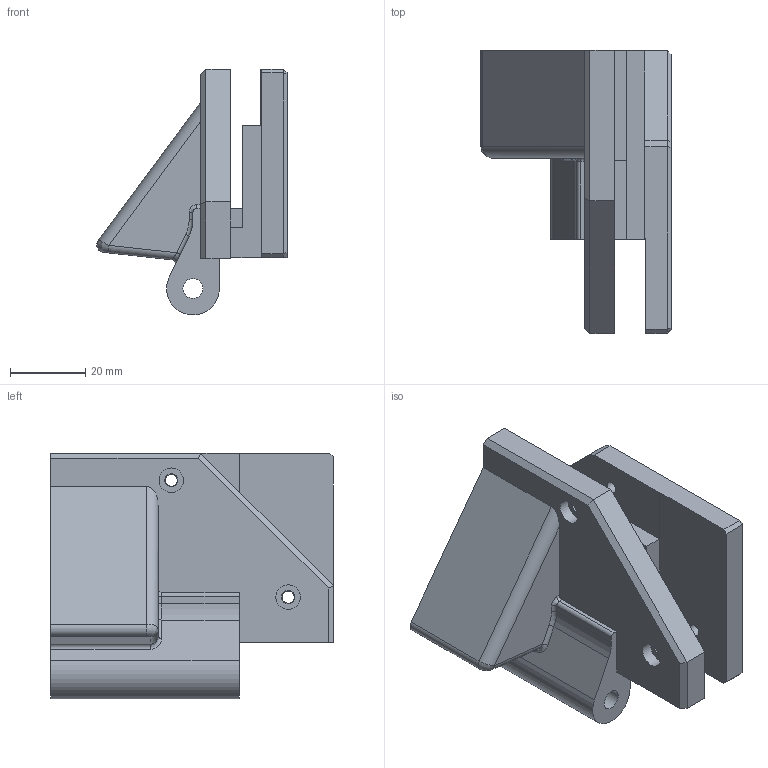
import cadquery as cq
import math


length = 75.0
plate_top = 50.2
near_thickness = 8.0
near_corner_cut = 35.2
near_edge_chamfer = 1.4
clearance = 0.2
plate_gap = 8.0
pad_thickness = clearance
pad_x = near_thickness + plate_gap
far_inner_x = pad_x + pad_thickness
far_thickness = 6.8
far_outer_x = far_inner_x + far_thickness
far_bottom = clearance
far_corner_cut = 24.5
far_edge_chamfer = 1.0

bridge_length = 50.0
spacer_thickness = 4.8
spacer_x = pad_x - spacer_thickness
spacer_top = 35.2
bridge_front_top = 8.2
bridge_rear_top = bridge_front_top + 5.0
bridge_step_y = -29.0

screw_places = [(-32.0, 43.0), (-63.0, 12.0)]
near_hole_diameter = 3.5
far_hole_diameter = 3.2
counterbore_diameter = 6.5
counterbore_depth = 3.0

lug_length = bridge_length
lug_radius = 7.0
lug_x = -2.0
lug_z = -8.0
lug_hole_diameter = 5.3
lug_top = bridge_rear_top
lug_top_round = 1.0
lug_neck_radius = 10.0
lug_neck_z = 10.3

wedge_length = 28.5
wedge_top = 41.4
wedge_root_z = -1.2
wedge_tip_x = -29.2
wedge_tip_z = 1.98
wedge_slope_round = 3.0
wedge_tip_round = 2.0
root_fillet = 1.0


def box(x_range, y_range, z_range):
    """Axis-aligned box from its (low, high) limits."""
    size = [high - low for low, high in (x_range, y_range, z_range)]
    corner = (x_range[0], y_range[0], z_range[0])
    return cq.Workplane("XY").box(*size, centered=False).translate(corner)


def x_cylinder(diameter, place, start, end):
    """Cylinder along X at a (y, z) place."""
    return cq.Workplane("YZ", origin=(start, 0, 0)).center(*place).circle(diameter / 2).extrude(end - start)


def near_plate():
    """Plate with a large 45 degree corner cut and chamfered outer edges."""
    outline = [
        (0, 0),
        (0, plate_top),
        (near_corner_cut - length, plate_top),
        (-length, plate_top - near_corner_cut),
        (-length, 0),
    ]
    plate = cq.Workplane("YZ").polyline(outline).close().extrude(near_thickness)
    free_edges = plate.faces("<X").edges("not(<Z or >Y)")
    return free_edges.chamfer(near_edge_chamfer)


def far_blank(start_x, end_x, blank_length):
    """Blank of the far plate between two X positions, with its rear top corner cut."""
    outline = [
        (0, far_bottom),
        (0, plate_top - far_corner_cut),
        (-far_corner_cut, plate_top),
        (-blank_length, plate_top),
        (-blank_length, far_bottom),
    ]
    return cq.Workplane("YZ", origin=(start_x, 0, 0)).polyline(outline).close().extrude(end_x - start_x)


def far_plate():
    """Plate with small corner chamfers, chamfered outer edges and a thin pad on its inner face."""
    plate = far_blank(far_inner_x, far_outer_x, length)
    plate = plate.edges("|X").edges(">Z or <Y").chamfer(far_edge_chamfer)
    plate = plate.faces(">X").edges("not <Z").chamfer(far_edge_chamfer)
    cut_corner = cq.NearestToPointSelector((pad_x, -far_corner_cut, plate_top))
    pad = far_blank(pad_x, far_inner_x, bridge_length)
    pad = pad.edges("|X").edges(cut_corner).chamfer(far_edge_chamfer)
    return plate.union(pad)


def bridge():
    """Spacer on the far plate and the stepped web that joins it to the near plate."""
    full = (-bridge_length, 0)
    spacer = box((spacer_x, pad_x), full, (far_bottom, spacer_top))
    front_web = box((near_thickness, spacer_x), full, (far_bottom, bridge_front_top))
    rear_web = box((near_thickness, spacer_x), (bridge_step_y, 0), (far_bottom, bridge_rear_top))
    return spacer.union(front_web).union(rear_web)


def lug():
    """Hinge lug: a round eye blending through a concave neck into a rounded top."""
    neck_x = lug_x - lug_neck_radius
    neck_height = lug_neck_z - lug_z
    centre_distance = math.hypot(lug_neck_radius, neck_height)
    tilt = math.atan2(neck_height, lug_neck_radius) - math.acos(
        (lug_radius + lug_neck_radius) / centre_distance
    )

    def on_eye(angle):
        return (lug_x - lug_radius * math.cos(angle), lug_z + lug_radius * math.sin(angle))

    def on_neck(angle):
        return (neck_x + lug_neck_radius * math.cos(angle), lug_neck_z - lug_neck_radius * math.sin(angle))

    round_mid = lug_top_round * (1 - math.sqrt(0.5))
    profile = (
        cq.Workplane("XZ")
        .moveTo(lug_x + lug_radius, lug_z)
        .threePointArc((lug_x, lug_z - lug_radius), on_eye(tilt))
        .lineTo(*on_neck(tilt))
        .threePointArc(on_neck(tilt / 2), on_neck(0))
        .lineTo(lug_x, lug_top - lug_top_round)
        .threePointArc((lug_x + round_mid, lug_top - round_mid), (lug_x + lug_top_round, lug_top))
        .lineTo(lug_x + lug_radius, lug_top)
        .close()
    )
    return profile.extrude(lug_length)


def wedge():
    """Sloping wedge on the near plate, rounded along its free edges."""
    root_x = near_thickness / 2
    outline = [
        (0, wedge_root_z),
        (wedge_tip_x, wedge_tip_z),
        (0, wedge_top),
        (root_x, wedge_top),
        (root_x, wedge_root_z),
    ]
    body = cq.Workplane("XZ").polyline(outline).close().extrude(wedge_length)
    slope_middle = (wedge_tip_x / 2, -wedge_length, (wedge_tip_z + wedge_top) / 2)
    body = body.edges(cq.NearestToPointSelector(slope_middle)).fillet(wedge_slope_round)
    low_edges = cq.selectors.BoxSelector(
        (wedge_tip_x - wedge_tip_round, -wedge_length - wedge_tip_round, wedge_root_z - wedge_tip_round),
        (-wedge_tip_round, -wedge_tip_round, wedge_tip_z + wedge_slope_round),
    )
    return body.edges(low_edges).fillet(wedge_tip_round)


def near_half():
    """Near plate, lug and wedge, with a fillet where the wedge meets the lug."""
    body = near_plate().union(lug()).union(wedge())
    meeting_edges = cq.selectors.BoxSelector(
        (lug_x - lug_radius, -wedge_length - root_fillet, wedge_root_z),
        (0, -root_fillet, lug_top + root_fillet),
    )
    return body.edges(meeting_edges).fillet(root_fillet)


def cut_holes(body):
    """Counterbored screw holes through both plates and the hinge pin hole."""
    for place in screw_places:
        body = body.cut(x_cylinder(near_hole_diameter, place, 0, near_thickness))
        body = body.cut(x_cylinder(counterbore_diameter, place, 0, counterbore_depth))
        body = body.cut(x_cylinder(far_hole_diameter, place, pad_x, far_outer_x))
    pin = cq.Workplane("XZ").center(lug_x, lug_z).circle(lug_hole_diameter / 2).extrude(lug_length)
    return body.cut(pin)


result = cut_holes(near_half().union(bridge()).union(far_plate()))